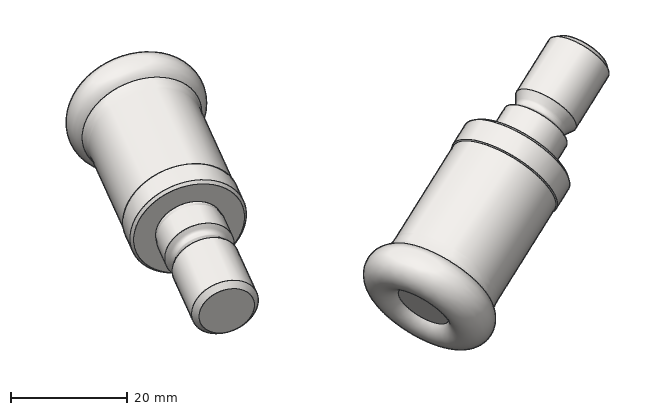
import cadquery as cq
import math


rim_radius = 12.5
rim_tube_radius = 4.05
dish_floor_radius = 10.0 / 2
rim_end = 7.35
rim_flare_end = 7.9
grip_start = 9.85
flare_radius = 7.4
grip_radius = 20.6 / 2
grip_end = 29.9

collar_radius = 21.0 / 2
collar_end = 34.95
collar_front_chamfer = 0.5
neck_radius = 12.1 / 2
neck_end = 35.45
shoulder_radius = 12.5 / 2
shoulder_start = 36.15
shoulder_end = 41.0
groove_radius = 10.0 / 2
groove_floor_start = 42.3
groove_floor_end = 42.45
shoulder_fillet = 0.95
shank_fillet = 1.15
shoulder_flank_angle = math.radians(60)
shank_flank_angle = math.radians(30)
shank_radius = 12.0 / 2
shank_end = 57.0
shank_chamfer = shank_radius - groove_radius


def revolve_about_x(profile):
    return profile.close().revolve(360, (0, 0, 0), (1, 0, 0))


def circle_point(center, radius, angle):
    """Point on a circle, with the angle measured from +X."""
    return (center[0] + radius * math.cos(angle), center[1] + radius * math.sin(angle))


def make_handle():
    tube_center = (rim_tube_radius, rim_radius - rim_tube_radius)
    dish_angle = math.pi + math.asin((tube_center[1] - dish_floor_radius) / rim_tube_radius)
    rim_end_angle = math.acos((rim_end - rim_tube_radius) / rim_tube_radius)
    dish_edge = circle_point(tube_center, rim_tube_radius, dish_angle)
    rim_middle = circle_point(tube_center, rim_tube_radius, (dish_angle + rim_end_angle) / 2)
    rim_edge = circle_point(tube_center, rim_tube_radius, rim_end_angle)

    flare_center = (grip_start, grip_radius + flare_radius)
    flare_angle = math.asin((grip_start - rim_flare_end) / flare_radius)
    flare_edge = circle_point(flare_center, flare_radius, -math.pi / 2 - flare_angle)
    flare_middle = circle_point(flare_center, flare_radius, -math.pi / 2 - flare_angle / 2)

    profile = (
        cq.Workplane("XY")
        .moveTo(dish_edge[0], 0)
        .lineTo(*dish_edge)
        .threePointArc(rim_middle, rim_edge)
        .lineTo(*flare_edge)
        .threePointArc(flare_middle, (grip_start, grip_radius))
        .lineTo(grip_end, grip_radius)
        .lineTo(grip_end, 0)
    )
    return revolve_about_x(profile)


def make_stud():
    collar_back_chamfer = collar_radius - grip_radius

    left_center = (groove_floor_start, groove_radius + shoulder_fillet)
    left_edge = circle_point(left_center, shoulder_fillet, -math.pi / 2 - shoulder_flank_angle)
    left_middle = circle_point(left_center, shoulder_fillet, -math.pi / 2 - shoulder_flank_angle / 2)
    right_center = (groove_floor_end, groove_radius + shank_fillet)
    right_edge = circle_point(right_center, shank_fillet, -math.pi / 2 + shank_flank_angle)
    right_middle = circle_point(right_center, shank_fillet, -math.pi / 2 + shank_flank_angle / 2)
    shank_start = right_edge[0] + (shank_radius - right_edge[1]) / math.tan(shank_flank_angle)

    profile = (
        cq.Workplane("XY")
        .moveTo(grip_end, 0)
        .lineTo(grip_end, grip_radius)
        .lineTo(grip_end + collar_back_chamfer, collar_radius)
        .lineTo(collar_end - collar_front_chamfer, collar_radius)
        .lineTo(collar_end, collar_radius - collar_front_chamfer)
        .lineTo(collar_end, neck_radius)
        .lineTo(neck_end, neck_radius)
        .lineTo(shoulder_start, shoulder_radius)
        .lineTo(shoulder_end, shoulder_radius)
        .lineTo(*left_edge)
        .threePointArc(left_middle, (groove_floor_start, groove_radius))
        .lineTo(groove_floor_end, groove_radius)
        .threePointArc(right_middle, right_edge)
        .lineTo(shank_start, shank_radius)
        .lineTo(shank_end - shank_chamfer, shank_radius)
        .lineTo(shank_end, shank_radius - shank_chamfer)
        .lineTo(shank_end, 0)
    )
    return revolve_about_x(profile)


handle = make_handle()
stud = make_stud()

result = cq.Compound.makeCompound([handle.val(), stud.val()])